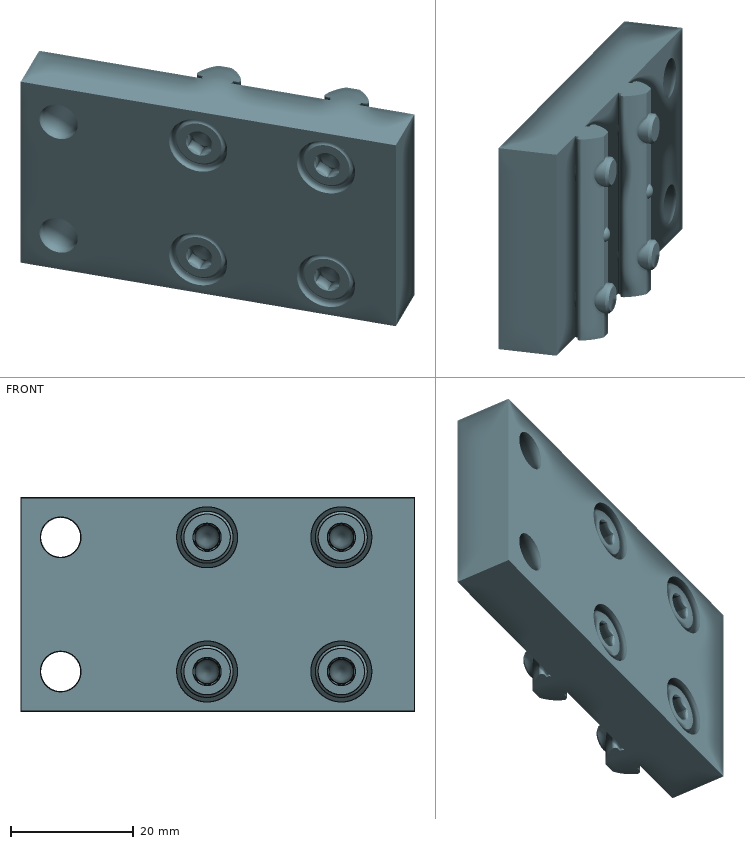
import cadquery as cq
import math


PLATE_LENGTH = 64.5
PLATE_THICKNESS = 10.0
PLATE_HEIGHT = 35.0
HOLE_PITCH = 22.0
MOUNT_HOLE_DIAMETER = 6.6
MOUNT_HOLE_X = 6.5
FIRST_SCREW_X = 30.5
CLEARANCE_DIAMETER = 5.5
COUNTERBORE_DIAMETER = 10.0

SHANK_DIAMETER = 5.0
SHANK_LENGTH = 10.0
TIP_DIAMETER = 4.1
HEAD_DIAMETER = 8.5
HEAD_HEIGHT = SHANK_DIAMETER
HEAD_CHAMFER = 0.45
SOCKET_ACROSS_FLATS = 4.0
SOCKET_DEPTH = 2.5
SOCKET_CONE_DEPTH = 1.15
SCREW_REACH = 15.7

NUT_RISE = 4.5
NUT_CREST_WIDTH = 2.25
NUT_CORNER_WIDTH = 8.1
NUT_SIDE_RADIUS = 7.1
NUT_WING_FILLET = 0.6
NUT_NECK_WIDTH = 5.2
NUT_NECK_HEIGHT = 0.7
NUT_NECK_CHAMFER = 0.25
BALL_DIAMETER = 2.95
BALL_RISE = 0.65

SEAT_Y = SCREW_REACH - SHANK_LENGTH
HEAD_FACE_Y = SEAT_Y - HEAD_HEIGHT
NUT_CREST_Y = PLATE_THICKNESS + NUT_RISE
SCREW_COLUMNS = [FIRST_SCREW_X, FIRST_SCREW_X + HOLE_PITCH]
ROWS = [-HOLE_PITCH / 2, HOLE_PITCH / 2]
SCREW_PLACES = [(x, z) for x in SCREW_COLUMNS for z in ROWS]
MOUNT_PLACES = [(MOUNT_HOLE_X, z) for z in ROWS]


def rod(x, z, diameter, start_y, end_y):
    """Cylinder along Y, centred on (x, z)."""
    return cq.Workplane(
        cq.Solid.makeCylinder(diameter / 2, end_y - start_y, cq.Vector(x, start_y, z), cq.Vector(0, 1, 0))
    )


def make_plate():
    """Plate with two plain through holes and four counterbored screw holes."""
    plate = cq.Workplane("XY").box(
        PLATE_LENGTH, PLATE_THICKNESS, PLATE_HEIGHT, centered=(False, False, True)
    )
    for x, z in MOUNT_PLACES:
        plate = plate.cut(rod(x, z, MOUNT_HOLE_DIAMETER, 0, PLATE_THICKNESS))
    for x, z in SCREW_PLACES:
        plate = plate.cut(rod(x, z, CLEARANCE_DIAMETER, 0, PLATE_THICKNESS))
        plate = plate.cut(rod(x, z, COUNTERBORE_DIAMETER, 0, SEAT_Y))
    return plate


def make_socket(x, z):
    """Hexagon socket, points up and down, with a countersunk mouth and a conical bottom."""
    along_y = cq.Vector(0, 1, 0)
    flat_radius = SOCKET_ACROSS_FLATS / 2
    corner_radius = flat_radius / math.cos(math.pi / 6)
    corners = []
    for i in range(6):
        angle = math.pi / 6 + i * math.pi / 3
        corners.append((corner_radius * math.cos(angle), corner_radius * math.sin(angle)))
    hexagon = (
        cq.Workplane("XZ", origin=(x, HEAD_FACE_Y, z)).polyline(corners).close().extrude(-SOCKET_DEPTH)
    )
    mouth = cq.Solid.makeCone(
        corner_radius, flat_radius, corner_radius - flat_radius, cq.Vector(x, HEAD_FACE_Y, z), along_y
    )
    bottom = cq.Solid.makeCone(
        flat_radius, 0, SOCKET_CONE_DEPTH, cq.Vector(x, HEAD_FACE_Y + SOCKET_DEPTH, z), along_y
    )
    return hexagon.union(cq.Workplane(mouth)).union(cq.Workplane(bottom))


def make_screw(x, z):
    """Socket head screw with a chamfered head rim and tip."""
    head = rod(x, z, HEAD_DIAMETER, HEAD_FACE_Y, SEAT_Y).faces("<Y").edges().chamfer(HEAD_CHAMFER)
    shank = rod(x, z, SHANK_DIAMETER, SEAT_Y, SCREW_REACH)
    shank = shank.faces(">Y").edges().chamfer((SHANK_DIAMETER - TIP_DIAMETER) / 2)
    return head.union(shank).cut(make_socket(x, z))


def make_nut(x):
    """Full-height slot nut with two screw holes and a ball proud of its crest."""
    crest = NUT_CREST_WIDTH / 2
    wing = NUT_CORNER_WIDTH / 2
    neck = NUT_NECK_WIDTH / 2
    foot = neck - NUT_NECK_CHAMFER
    nut = (
        cq.Workplane("XY", origin=(x, PLATE_THICKNESS, -PLATE_HEIGHT / 2))
        .moveTo(-foot, 0)
        .lineTo(foot, 0)
        .lineTo(neck, NUT_NECK_CHAMFER)
        .lineTo(neck, NUT_NECK_HEIGHT)
        .lineTo(wing, NUT_NECK_HEIGHT)
        .radiusArc((crest, NUT_RISE), -NUT_SIDE_RADIUS)
        .lineTo(-crest, NUT_RISE)
        .radiusArc((-wing, NUT_NECK_HEIGHT), -NUT_SIDE_RADIUS)
        .lineTo(-neck, NUT_NECK_HEIGHT)
        .lineTo(-neck, NUT_NECK_CHAMFER)
        .close()
        .extrude(PLATE_HEIGHT)
    )
    wing_tips = nut.edges("|Z and (<X or >X)")
    nut = wing_tips.fillet(NUT_WING_FILLET)
    ball_y = NUT_CREST_Y + BALL_RISE - BALL_DIAMETER / 2
    nut = nut.union(cq.Workplane("XY", origin=(x, ball_y, 0)).sphere(BALL_DIAMETER / 2))
    for z in ROWS:
        nut = nut.cut(rod(x, z, SHANK_DIAMETER, PLATE_THICKNESS, NUT_CREST_Y))
    return nut


plate = make_plate()
screws = [make_screw(x, z) for x, z in SCREW_PLACES]
nuts = [make_nut(x) for x in SCREW_COLUMNS]

result = cq.Compound.makeCompound([body.solids().val() for body in [plate, *screws, *nuts]])